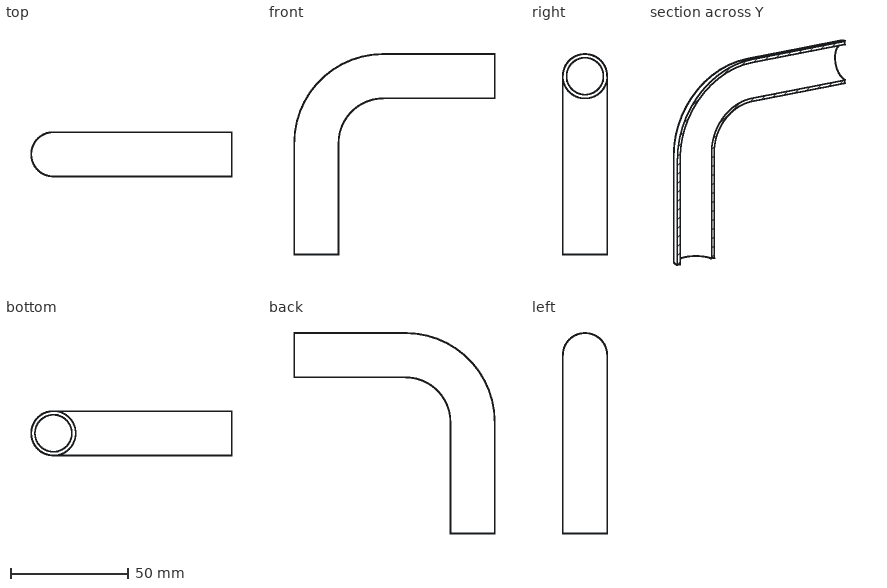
import cadquery as cq

overall_length = 85.7
outer_diameter = 19.0
bore_diameter = 15.8
bend_radius_ratio = 1.5

bend_radius = bend_radius_ratio * outer_diameter
leg_length = overall_length - outer_diameter / 2 - bend_radius


def bent_rod(diameter):
    """Solid rod rising along Z, bending through 90 degrees, then running along +X."""
    upright_leg = cq.Workplane("XY").circle(diameter / 2).extrude(leg_length)
    bend = (
        cq.Workplane("XY", origin=(0, 0, leg_length))
        .circle(diameter / 2)
        .revolve(90, (bend_radius, 0, 0), (bend_radius, 1, 0))
    )
    level_leg = (
        cq.Workplane("YZ", origin=(bend_radius, 0, leg_length + bend_radius))
        .circle(diameter / 2)
        .extrude(leg_length)
    )
    return upright_leg.union(bend).union(level_leg)


result = bent_rod(outer_diameter).cut(bent_rod(bore_diameter))